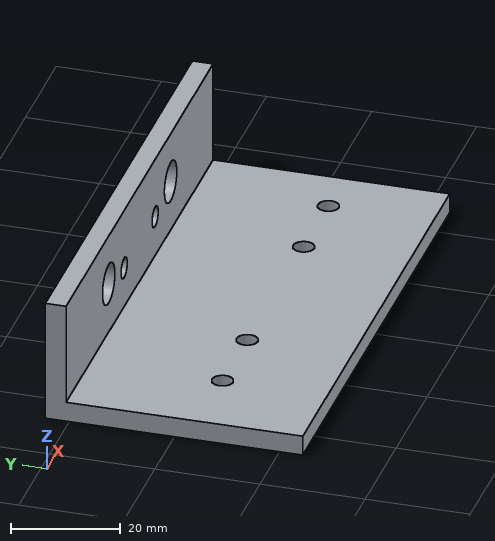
import cadquery as cq

length = 95.0
depth = 49.0
height = 24.0
thickness = 4.0

large_diameter = 8.0
large_spacing = 40.0
large_height = 14.1
small_diameter = 4.0
small_spacing = 20.0
small_height = 12.1

base_hole_diameter = 4.0
base_pair_spacing = 16.0
base_pair_centers = (-23.7, 28.8)
base_row_y = 19.95


def make_angle():
    """L-shaped section extruded along X, with the wall at the back."""
    base = cq.Workplane("XY").box(length, depth, thickness, centered=(True, False, False))
    wall = (
        cq.Workplane("XY")
        .box(length, thickness, height, centered=(True, False, False))
        .translate((0, depth - thickness, 0))
    )
    return base.union(wall)


def wall_hole_pair(diameter, spacing, center_height):
    """Cutters along Y through the upright wall."""
    centers = [(side * spacing / 2, center_height) for side in (-1, 1)]
    return (
        cq.Workplane("XZ", origin=(0, depth, 0))
        .pushPoints(centers)
        .circle(diameter / 2)
        .extrude(thickness)
    )


def base_hole_pair(center_x):
    """Cutters along Z through the base."""
    centers = [(center_x + side * base_pair_spacing / 2, base_row_y) for side in (-1, 1)]
    return cq.Workplane("XY").pushPoints(centers).circle(base_hole_diameter / 2).extrude(thickness)


result = make_angle()
result = result.cut(wall_hole_pair(large_diameter, large_spacing, large_height))
result = result.cut(wall_hole_pair(small_diameter, small_spacing, small_height))
for pair_center in base_pair_centers:
    result = result.cut(base_hole_pair(pair_center))